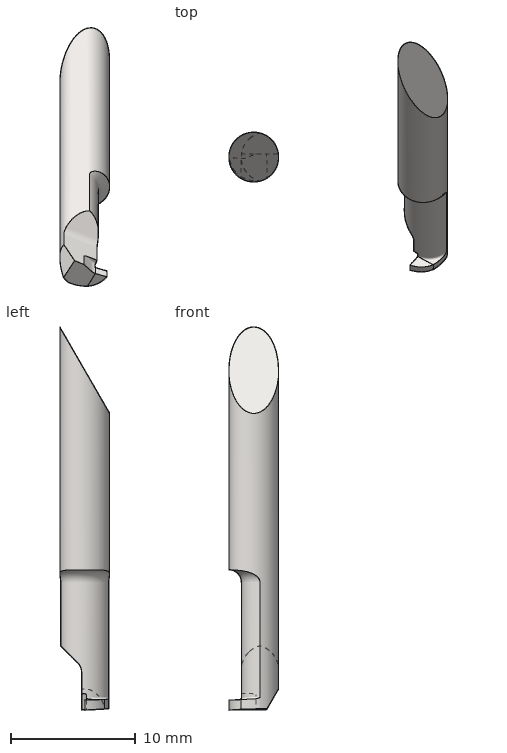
import cadquery as cq
import math

bar_radius = 2.0
bar_length = 30.71
end_angle = 60.0

neck_offset = 1.0
neck_top = 10.25
neck_flare_radius = neck_offset

flange_height = 0.82
flange_top_slope = 2.5
flange_fillet = 0.15
relief_corner = (-1.93, -0.23)
flange_middle = (-1.60, -1.0)
flange_corner = (-1.0, -1.6)
flange_back_middle = (-0.27, -1.86)

bottom_relief_y = 2.5
bottom_relief_x = 1.0

flat_y = 0.26
flat_top = 3.07
flat_ramp_angle = 45.0
flat_blend_radius = 1.0

corner_cut_height = 1.72
corner_cut_angle = 60.0

rake_angle = 8.0
groove_wall_angle = 22.0
groove_low_x = -0.85
groove_top = 1.33
groove_blend_radius = 1.0
groove_end_radius = 0.15

tip_split_gap = 0.01
tip_split_x = -bar_radius + neck_offset - tip_split_gap
reach = 3 * bar_radius
block_size = 4 * reach
margin = 1.0


def tan(angle):
    return math.tan(math.radians(angle))


neck_edge_x = neck_offset / 2
neck_edge_y = -math.sqrt(bar_radius**2 - neck_edge_x**2)


def round_bar():
    """Full-diameter bar with the slanted shank end, high on the +Y side."""
    bar = cq.Workplane("XY").circle(bar_radius).extrude(bar_length)
    end_low = bar_length - 2 * bar_radius * tan(end_angle)
    end_cut = (
        cq.Workplane("YZ")
        .polyline([(-bar_radius, end_low), (bar_radius, bar_length), (-bar_radius, bar_length)])
        .close()
        .extrude(bar_radius, both=True)
    )
    return bar.cut(end_cut)


def neck_envelope():
    """Round neck flaring out at the top, standing with a fillet on a wide block: the flange stock.

    The bar keeps only what lies inside this shape.
    """
    flare_middle = neck_flare_radius * (1 - math.sqrt(0.5))
    flare_top = neck_top + neck_flare_radius
    neck = (
        cq.Workplane("XZ")
        .moveTo(0, 0)
        .lineTo(bar_radius, 0)
        .lineTo(bar_radius, neck_top)
        .threePointArc(
            (bar_radius + flare_middle, neck_top + neck_flare_radius * math.sqrt(0.5)),
            (bar_radius + neck_flare_radius, flare_top),
        )
        .lineTo(reach, flare_top)
        .lineTo(reach, bar_length)
        .lineTo(0, bar_length)
        .close()
        .revolve(360, (0, 0, 0), (0, 1, 0))
        .translate((neck_offset, 0, 0))
    )
    flange_stock = (
        cq.Workplane("XY")
        .box(block_size, block_size, reach, centered=(True, True, False))
        .translate((0, 0, -reach))
        .rotate((0, 0, 0), (0, 1, 0), -flange_top_slope)
        .translate((-bar_radius, 0, flange_height))
    )
    neck_root = cq.selectors.NearestToPointSelector((neck_offset, 0, flange_height))
    return neck.union(flange_stock).edges(neck_root).fillet(flange_fillet)


def flange_side_cut():
    """Space outside the flange: straight clearance behind the cutting edge, then a rounded back."""
    clearance_slope = (bar_radius + relief_corner[0]) / -relief_corner[1]
    return (
        cq.Workplane("XY")
        .moveTo(-bar_radius - flat_y * clearance_slope, flat_y)
        .lineTo(*relief_corner)
        .threePointArc(flange_middle, flange_corner)
        .threePointArc(flange_back_middle, (neck_edge_x, neck_edge_y))
        .lineTo(neck_edge_x, -reach)
        .lineTo(-reach, -reach)
        .lineTo(-reach, flat_y)
        .close()
        .extrude(groove_top)
    )


def flat_cut():
    """Space above the flat on the +Y side, with a rounded run-out and a ramp."""
    turn = math.radians(90 - flat_ramp_angle)
    ramp_y = flat_y + flat_blend_radius * (1 - math.cos(turn))
    ramp_z = flat_top + flat_blend_radius * math.sin(turn)
    middle_y = flat_y + flat_blend_radius * (1 - math.cos(turn / 2))
    middle_z = flat_top + flat_blend_radius * math.sin(turn / 2)
    return (
        cq.Workplane("YZ")
        .moveTo(flat_y, -margin)
        .lineTo(flat_y, flat_top)
        .threePointArc((middle_y, middle_z), (ramp_y, ramp_z))
        .lineTo(reach, ramp_z + (reach - ramp_y) * tan(flat_ramp_angle))
        .lineTo(reach, -margin)
        .close()
        .extrude(reach, both=True)
    )


def corner_cut():
    """Slanted cut at the lower end on the +X side."""
    return (
        cq.Workplane("XZ")
        .moveTo(bar_radius, corner_cut_height)
        .lineTo(bar_radius - corner_cut_height / tan(corner_cut_angle), 0)
        .lineTo(bar_radius, 0)
        .close()
        .extrude(reach, both=True)
    )


def bottom_cut():
    """Space under the bottom face, which rises away from the cutting corner."""
    return (
        cq.Workplane("XY")
        .box(block_size, block_size, reach, centered=(True, True, False))
        .translate((0, 0, -reach))
        .rotate((0, 0, 0), (1, 0, 0), -bottom_relief_y)
        .rotate((0, 0, 0), (0, 1, 0), -bottom_relief_x)
        .translate((-bar_radius, 0, 0))
    )


def chip_groove():
    """Groove behind the cutting edge: falls at the rake angle, then climbs to the flat."""
    low_y = -(groove_low_x + bar_radius) * tan(rake_angle)
    wall_end_x = groove_low_x + (flat_y - low_y) / tan(groove_wall_angle)
    groove = (
        cq.Workplane("XY")
        .polyline(
            [
                (-reach, (reach - bar_radius) * tan(rake_angle)),
                (groove_low_x, low_y),
                (wall_end_x + margin, flat_y + margin * tan(groove_wall_angle)),
                (wall_end_x + margin, reach),
                (-reach, reach),
            ]
        )
        .close()
        .extrude(groove_top + margin)
        .translate((0, 0, -margin))
    )
    groove = groove.edges(cq.selectors.NearestToPointSelector((groove_low_x, low_y, 0)))
    groove = groove.fillet(groove_blend_radius)
    return groove.faces(">Z").edges("<Y or <<Y[1] or <<Y[2]").fillet(groove_end_radius)


tool = round_bar().intersect(neck_envelope())
for space in (flange_side_cut, flat_cut, corner_cut, bottom_cut, chip_groove):
    tool = tool.cut(space())

tip_space = (
    cq.Workplane("XY")
    .box(reach, reach, neck_top, centered=(False, True, True))
    .translate((tip_split_x - reach, 0, 0))
)
cutting_tip = tool.intersect(tip_space)
holder = tool.cut(tip_space)

result = cq.Compound.makeCompound([*holder.solids().vals(), *cutting_tip.solids().vals()])